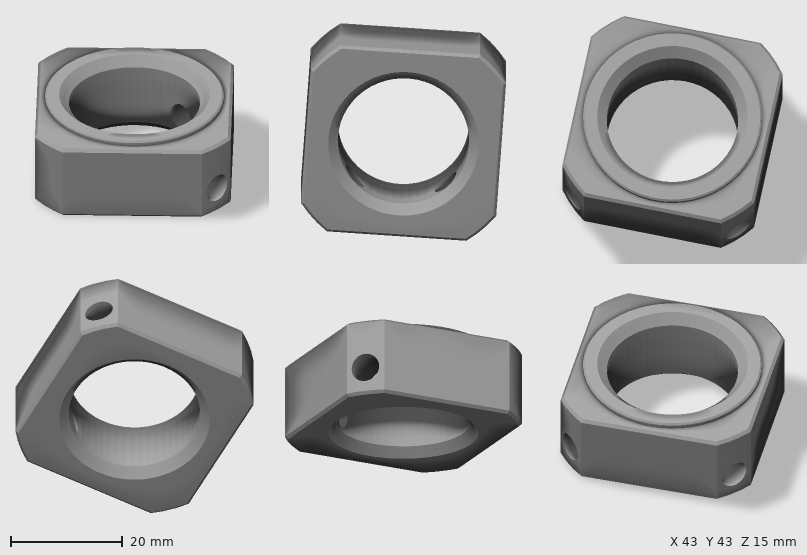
import cadquery as cq

corner_diameter = 43.0
across_flats = 35.0
body_height = 14.0
body_chamfer = 0.5

collar_diameter = 32.0
total_height = 15.0
collar_chamfer = 0.3

bore_diameter = 23.48
bore_chamfer = 1.7

radial_hole_diameter = 5.15
radial_hole_height = 5.0
radial_hole_angles = (0, 90)


def make_body():
    """Square prism standing on its diagonal, with corners turned to a circle."""
    square = (
        cq.Workplane("XY")
        .rect(across_flats, across_flats)
        .extrude(body_height)
        .rotate((0, 0, 0), (0, 0, 1), 45)
    )
    turned = cq.Workplane("XY").circle(corner_diameter / 2).extrude(body_height)
    return square.intersect(turned).faces("<Z or >Z").chamfer(body_chamfer)


def make_collar():
    """Disc from the base up to the raised top face, chamfered at the top edge."""
    return (
        cq.Workplane("XY")
        .circle(collar_diameter / 2)
        .extrude(total_height)
        .faces(">Z")
        .chamfer(collar_chamfer)
    )


def make_bore():
    """Revolved cutter for the through bore and its two 45 degree chamfers."""
    radius = bore_diameter / 2
    return (
        cq.Workplane("XZ")
        .moveTo(0, 0)
        .lineTo(radius + bore_chamfer, 0)
        .lineTo(radius, bore_chamfer)
        .lineTo(radius, total_height - bore_chamfer)
        .lineTo(radius + bore_chamfer, total_height)
        .lineTo(0, total_height)
        .close()
        .revolve(360, (0, 0, 0), (0, 1, 0))
    )


def make_radial_hole(angle):
    """Cylinder from the part axis out through one corner."""
    return (
        cq.Workplane("YZ")
        .center(0, radial_hole_height)
        .circle(radial_hole_diameter / 2)
        .extrude(corner_diameter / 2)
        .rotate((0, 0, 0), (0, 0, 1), angle)
    )


result = make_body().union(make_collar()).cut(make_bore())
for hole_angle in radial_hole_angles:
    result = result.cut(make_radial_hole(hole_angle))